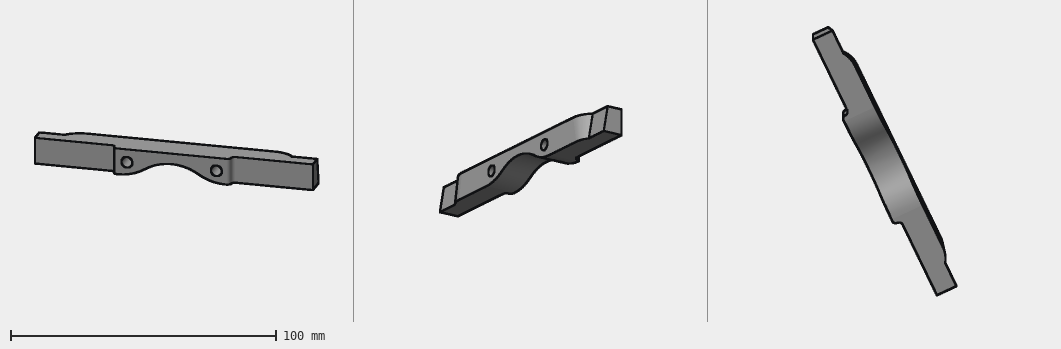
import cadquery as cq
import math

length = 109.0
height = 10.4
back_y = 10.0
half_length = length / 2

arm_inner_x = 44.6
arm_top_y = 6.4
arm_draft = math.radians(10)
arm_bottom_y = arm_top_y + height * math.tan(arm_draft)
shoulder_radius = 10.0

boss_depth = 2.9
boss_face_half = 21.5
boss_root_radius = 1.4
boss_corner_radius = 1.4
boss_flank_lean = math.radians(10)

arch_rise = 6.1
arch_half_width = 20.9
crown_radius = 19.6

hole_diameter = 4.3
hole_x = 17.5
hole_z = height / 2


def body_section(z, arm_back_y):
    """Closed outline of the body without the boss, at height z."""
    drop = back_y - arm_back_y
    run = math.sqrt(2 * shoulder_radius * drop - drop**2)
    tangent_x = arm_inner_x - run
    half_angle = math.asin(run / shoulder_radius) / 2
    mid_x = tangent_x + shoulder_radius * math.sin(half_angle)
    mid_y = back_y - shoulder_radius * (1 - math.cos(half_angle))
    return (
        cq.Workplane("XY", origin=(0, 0, z))
        .moveTo(-half_length, 0)
        .lineTo(half_length, 0)
        .lineTo(half_length, arm_back_y)
        .lineTo(arm_inner_x, arm_back_y)
        .threePointArc((mid_x, mid_y), (tangent_x, back_y))
        .lineTo(-tangent_x, back_y)
        .threePointArc((-mid_x, mid_y), (-arm_inner_x, arm_back_y))
        .lineTo(-half_length, arm_back_y)
        .close()
        .val()
    )


def make_body():
    """Ruled solid between the bottom and top outlines."""
    sections = [body_section(0, arm_bottom_y), body_section(height, arm_top_y)]
    return cq.Workplane(cq.Solid.makeLoft(sections, True))


def make_boss():
    """Raised pad on the front face, rooted inside the body."""
    across = math.cos(boss_flank_lean)
    along = 1 - math.sin(boss_flank_lean)
    outer_y = -boss_depth + boss_corner_radius * along
    inner_y = -boss_root_radius * along
    outer_x = boss_face_half + boss_corner_radius * across
    inner_x = outer_x + (inner_y - outer_y) * math.tan(boss_flank_lean)
    root_x = inner_x + boss_root_radius * across
    overlap_y = arm_top_y / 2
    return (
        cq.Workplane("XY")
        .moveTo(-root_x, overlap_y)
        .lineTo(-root_x, 0)
        .radiusArc((-inner_x, inner_y), boss_root_radius)
        .lineTo(-outer_x, outer_y)
        .radiusArc((-boss_face_half, -boss_depth), -boss_corner_radius)
        .lineTo(boss_face_half, -boss_depth)
        .radiusArc((outer_x, outer_y), -boss_corner_radius)
        .lineTo(inner_x, inner_y)
        .radiusArc((root_x, 0), boss_root_radius)
        .lineTo(root_x, overlap_y)
        .close()
        .extrude(height)
    )


def make_arch():
    """Cutter for the arched underside, running through the full depth."""
    radius_sum = (arch_half_width**2 + arch_rise**2) / (2 * arch_rise)
    foot_radius = radius_sum - crown_radius
    blend_x = arch_half_width * crown_radius / radius_sum
    blend_z = arch_rise * foot_radius / radius_sum
    return (
        cq.Workplane("XZ", origin=(0, back_y, 0))
        .moveTo(-arch_half_width, 0)
        .radiusArc((-blend_x, blend_z), -foot_radius)
        .threePointArc((0, arch_rise), (blend_x, blend_z))
        .radiusArc((arch_half_width, 0), -foot_radius)
        .close()
        .extrude(back_y + boss_depth)
    )


def make_holes():
    """Cutters for the two round holes along Y."""
    return (
        cq.Workplane("XZ", origin=(0, back_y, 0))
        .pushPoints([(-hole_x, hole_z), (hole_x, hole_z)])
        .circle(hole_diameter / 2)
        .extrude(back_y + boss_depth)
    )


result = make_body().union(make_boss()).cut(make_arch()).cut(make_holes())